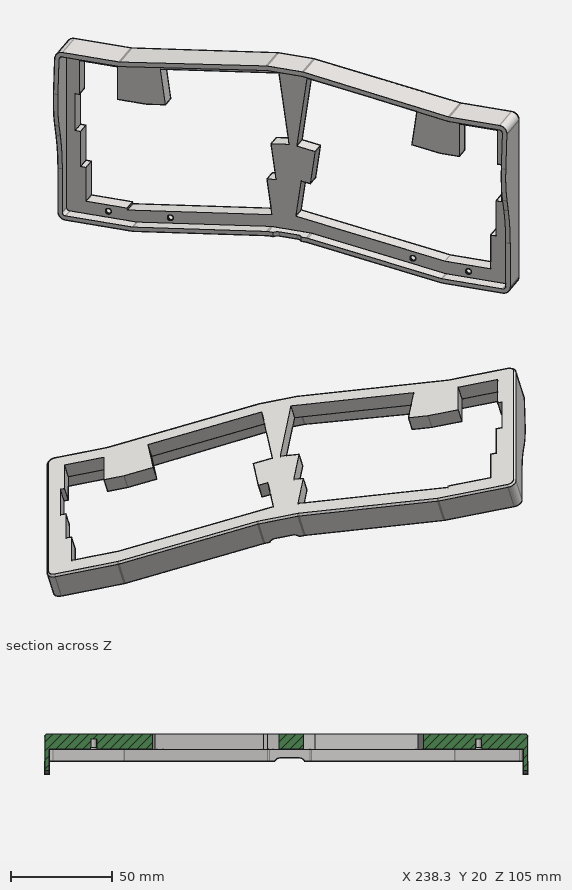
import cadquery as cq
import math

WIDTH = 238.3
HEIGHT = 105.0
FULL_DEPTH = 20.0
LOW_DEPTH = 13.5
WALL = 2.5
FLOOR = 7.6
CORNER_RADIUS = 4.0
BACK_CHAMFER = 1.0

TILT = math.radians(8)
SPLIT_X = 1.7
TOP_CENTRE_HALF = 9.5
TOP_WING_END = 86.7
BOTTOM_CENTRE_HALF = 10.2
BOTTOM_WING_END = 81.3

RIM_TOP_SLOPE = math.radians(5)
RIM_STEEP_SLOPE = math.radians(16)
RIM_CREST_Z = 14.8
RIM_CREST_RADIUS = 50.0
RIM_HOLLOW_RADIUS = 70.0

BLOCK_TOP = 33.4
BLOCK_BOTTOM = -43.4
ROW_STEPS = (14.8, -5.5, -24.8)
ROW_SIDES = (110.0, 112.2, 109.4, 106.5)
SLOT_INNER = 90.0
TAB_BOTTOM = 15.5

TILT_TOP = 45.3
TILT_MIDDLE = 6.7

SCREW_DIAMETER = 2.6
SCREW_DEPTH = 5.0
COUNTERBORE_DIAMETER = 3.0
COUNTERBORE_DEPTH = 1.0
CORNER_SCREW_X = 94.8
CORNER_SCREW_ZS = (36.2, -47.0)
WING_SCREW = (63.9, -44.8)
PLAIN_SCREW = (72.5, 38.4)

NOTCH_WIDTH = 14.8
NOTCH_RADIUS = 3.0
NOTCH_DEPTH = 1.7


def case_outline():
    """Outer outline: straight ends, leaning wings and a level centre."""
    half_width = WIDTH / 2
    top = HEIGHT / 2
    top_drop = (TOP_WING_END - TOP_CENTRE_HALF) * math.tan(TILT)
    bottom_rise = (BOTTOM_WING_END - BOTTOM_CENTRE_HALF) * math.tan(TILT)
    return [
        (-half_width, -top),
        (SPLIT_X - BOTTOM_WING_END, -top),
        (SPLIT_X - BOTTOM_CENTRE_HALF, -top + bottom_rise),
        (SPLIT_X + BOTTOM_CENTRE_HALF, -top + bottom_rise),
        (SPLIT_X + BOTTOM_WING_END, -top),
        (half_width, -top),
        (half_width, top - top_drop),
        (SPLIT_X + TOP_WING_END, top - top_drop),
        (SPLIT_X + TOP_CENTRE_HALF, top),
        (SPLIT_X - TOP_CENTRE_HALF, top),
        (SPLIT_X - TOP_WING_END, top - top_drop),
        (-half_width, top - top_drop),
    ]


def rounded_block():
    """Full-depth block with every corner of the outline rounded."""
    block = cq.Workplane("XZ").polyline(case_outline()).close().extrude(FULL_DEPTH)
    return block.edges("|Y").fillet(CORNER_RADIUS)


def tray_pocket():
    """Volume inside the walls, in front of the floor."""
    outline = rounded_block().faces("<Y").wires().toPending()
    return outline.workplane().offset2D(-WALL).extrude(-(FULL_DEPTH - FLOOR), combine=False)


def rim_cutter():
    """Everything in front of the wavy rim, swept across the full width."""
    radii = RIM_CREST_RADIUS + RIM_HOLLOW_RADIUS
    arc_fall = radii * (1 - math.cos(RIM_STEEP_SLOPE))
    ramp_length = (FULL_DEPTH - LOW_DEPTH - arc_fall) / math.sin(RIM_STEEP_SLOPE)
    ramp_height = ramp_length * math.cos(RIM_STEEP_SLOPE)
    hollow_end_z = RIM_CREST_Z - radii * math.sin(RIM_STEEP_SLOPE) - ramp_height

    def crest(angle):
        return (-FULL_DEPTH + RIM_CREST_RADIUS * (1 - math.cos(angle)),
                RIM_CREST_Z + RIM_CREST_RADIUS * math.sin(angle))

    def hollow(angle):
        return (-LOW_DEPTH - RIM_HOLLOW_RADIUS * (1 - math.cos(angle)),
                hollow_end_z + RIM_HOLLOW_RADIUS * math.sin(angle))

    crest_start = crest(RIM_TOP_SLOPE)
    above = HEIGHT
    top_y = crest_start[0] + (above - crest_start[1]) * math.tan(RIM_TOP_SLOPE)
    clear_y = -2 * FULL_DEPTH
    profile = (
        cq.Workplane("YZ")
        .moveTo(clear_y, above)
        .lineTo(top_y, above)
        .lineTo(*crest_start)
        .threePointArc(crest((RIM_TOP_SLOPE - RIM_STEEP_SLOPE) / 2), crest(-RIM_STEEP_SLOPE))
        .lineTo(*hollow(RIM_STEEP_SLOPE))
        .threePointArc(hollow(RIM_STEEP_SLOPE / 2), hollow(0))
        .lineTo(-LOW_DEPTH, -HEIGHT)
        .lineTo(clear_y, -HEIGHT)
        .close()
    )
    return profile.extrude(WIDTH, both=True)


def wing_point(side, along, up):
    """Point of a wing, measured along its lean from the split line and square to it."""
    outward = along * math.cos(TILT) + up * math.sin(TILT)
    return (SPLIT_X + side * outward, up * math.cos(TILT) - along * math.sin(TILT))


def wing_point_at_height(side, up, z):
    """Point where a leaning row edge reaches height z."""
    return wing_point(side, (up * math.cos(TILT) - z) / math.sin(TILT), up)


def key_opening(side, tab_edge, tab_level, upper, middle, lower, lower_level, bottom, bottom_end=None):
    """Through opening of one wing; side is -1 for left and 1 for right.

    The level rows lie at the outer end and the leaning rows reach the centre post.
    With bottom_end the lowest leaning row ends in a square corner below the level row.
    """
    points = [(side * SLOT_INNER, BLOCK_TOP)]
    level = BLOCK_TOP
    for row_side, row_end in zip(ROW_SIDES, ROW_STEPS + (BLOCK_BOTTOM,)):
        points += [(side * row_side, level), (side * row_side, row_end)]
        level = row_end
    if bottom_end is None:
        points.append(wing_point_at_height(side, bottom, BLOCK_BOTTOM))
    else:
        foot_up = (BLOCK_BOTTOM + bottom_end * math.sin(TILT)) / math.cos(TILT)
        points += [wing_point(side, bottom_end, foot_up), wing_point(side, bottom_end, bottom)]
    leaning_corners = [
        (lower, bottom),
        (lower, lower_level),
        (middle, lower_level),
        (middle, TILT_MIDDLE),
        (upper, TILT_MIDDLE),
        (upper, TILT_TOP),
        (tab_edge, TILT_TOP),
        (tab_edge, tab_level),
    ]
    points += [wing_point(side, along, up) for along, up in leaning_corners]
    points += [wing_point_at_height(side, tab_level, TAB_BOTTOM), (side * SLOT_INNER, TAB_BOTTOM)]
    return cq.Workplane("XZ").polyline(points).close().extrude(FULL_DEPTH)


def blind_holes(points, diameter, depth):
    """Round holes sunk into the front of the floor."""
    floor_face = cq.Workplane("XZ", origin=(0, -FLOOR, 0))
    return floor_face.pushPoints(points).circle(diameter / 2).extrude(-depth)


def cable_notch():
    """Shallow recess with curved ends across the middle of the bottom rim."""
    half = NOTCH_WIDTH / 2
    inner_y = -LOW_DEPTH + NOTCH_DEPTH
    end_run = math.sqrt(NOTCH_RADIUS**2 - (NOTCH_RADIUS - NOTCH_DEPTH)**2)
    return (
        cq.Workplane("XY", origin=(SPLIT_X, 0, -HEIGHT / 2))
        .moveTo(-half, -FULL_DEPTH)
        .lineTo(-half, -LOW_DEPTH)
        .radiusArc((-half + end_run, inner_y), NOTCH_RADIUS)
        .lineTo(half - end_run, inner_y)
        .radiusArc((half, -LOW_DEPTH), NOTCH_RADIUS)
        .lineTo(half, -FULL_DEPTH)
        .close()
        .extrude(HEIGHT / 4)
    )


case = rounded_block().faces(">Y").edges().chamfer(BACK_CHAMFER)
case = case.cut(rim_cutter()).cut(tray_pocket())

case = case.cut(key_opening(-1, tab_edge=63.4, tab_level=26.0, upper=0.35, middle=10.0,
                            lower=14.9, lower_level=-12.6, bottom=-32.0, bottom_end=91.7))
case = case.cut(key_opening(1, tab_edge=60.3, tab_level=26.2, upper=2.0, middle=11.7,
                            lower=6.8, lower_level=-11.7, bottom=-31.7))

corner_screws = [(side * CORNER_SCREW_X, z) for side in (-1, 1) for z in CORNER_SCREW_ZS]
wing_screws = [(SPLIT_X + side * WING_SCREW[0], WING_SCREW[1]) for side in (-1, 1)]
plain_screws = [(SPLIT_X + side * PLAIN_SCREW[0], PLAIN_SCREW[1]) for side in (-1, 1)]
counterbored_screws = corner_screws + wing_screws
case = case.cut(blind_holes(counterbored_screws + plain_screws, SCREW_DIAMETER, SCREW_DEPTH))
case = case.cut(blind_holes(counterbored_screws, COUNTERBORE_DIAMETER, COUNTERBORE_DEPTH))
result = case.cut(cable_notch())